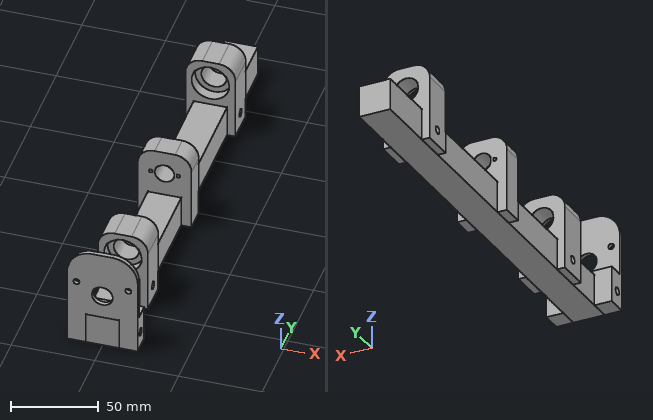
import cadquery as cq

BAR_SIDE = 20.0
BAR_LENGTH = 270.0
FRONT_Y = -BAR_LENGTH / 2

BLOCK_HEIGHT = 50.0
BLOCK_CORNER_RADIUS = 10.0
SHAFT_AXIS_Z = 35.0
SHAFT_HOLE_DIAMETER = 11.5

BEARING_BLOCK_WIDTH = 30.0
BEARING_BLOCK_LENGTH = 20.0
BEARING_BLOCK_STARTS = (40.0, 210.0)
BEARING_SEAT_DIAMETER = 22.5
BEARING_SEAT_DEPTH = 7.0
BEARING_BORE_DIAMETER = 15.0

NUT_BLOCK_WIDTH = 32.0
NUT_BLOCK_LENGTH = 14.0
NUT_BLOCK_START = 121.0
NUT_SCREW_DIAMETER = 2.1
NUT_SCREW_SPACING = 16.5

PLATE_WIDTH = 42.0
PLATE_HEIGHT = 64.0
PLATE_THICKNESS = 3.0
PLATE_CORNER_RADIUS = 15.0
PLATE_HOLE_DIAMETER = 12.5
FOOT_LENGTH = 13.0
FOOT_HEIGHT = 22.7
MOTOR_SCREW_DIAMETER = 3.5
MOTOR_SCREW_SPACING = 31.0
MOTOR_SCREW_Z = 42.0

SIDE_SCREW_DIAMETER = 4.5
SIDE_SCREW_Z = BAR_SIDE / 2
PLATE_SIDE_SCREW_OFFSET = 6.0


def box_on_base(width, length, height, start_y):
    """Box centred on X, standing on Z = 0 and running toward +Y from start_y."""
    return cq.Workplane("XY").box(width, length, height, centered=(True, False, False)).translate((0, start_y, 0))


def rounded_upright(width, length, height, corner_radius, start_y):
    """Upright box with its two top corners rounded."""
    upright = box_on_base(width, length, height, start_y)
    return upright.faces(">Z").edges("|Y").fillet(corner_radius)


def cylinder_along_y(diameter, length, x, start_y, z):
    """Cutting cylinder running toward +Y from start_y."""
    return cq.Workplane(cq.Solid.makeCylinder(
        diameter / 2, length, cq.Vector(x, start_y, z), cq.Vector(0, 1, 0)
    ))


def side_screw_hole(width, y):
    """Cutting cylinder along X that crosses both side walls of a body."""
    return cq.Workplane(cq.Solid.makeCylinder(
        SIDE_SCREW_DIAMETER / 2, width, cq.Vector(-width / 2, y, SIDE_SCREW_Z), cq.Vector(1, 0, 0)
    ))


def make_bar():
    return box_on_base(BAR_SIDE, BAR_LENGTH, BAR_SIDE, FRONT_Y)


def cut_bar_slot(body):
    """Open the underside of a body so that the bar fits through it."""
    return body.cut(make_bar())


def make_bearing_block(start_y):
    block = rounded_upright(
        BEARING_BLOCK_WIDTH, BEARING_BLOCK_LENGTH, BLOCK_HEIGHT, BLOCK_CORNER_RADIUS, start_y
    )
    block = block.cut(side_screw_hole(BEARING_BLOCK_WIDTH, start_y + BEARING_BLOCK_LENGTH / 2))
    block = block.cut(cylinder_along_y(BEARING_BORE_DIAMETER, BEARING_BLOCK_LENGTH, 0, start_y, SHAFT_AXIS_Z))
    block = block.cut(cylinder_along_y(BEARING_SEAT_DIAMETER, BEARING_SEAT_DEPTH, 0, start_y, SHAFT_AXIS_Z))
    return cut_bar_slot(block)


def make_nut_block():
    start_y = FRONT_Y + NUT_BLOCK_START
    block = rounded_upright(NUT_BLOCK_WIDTH, NUT_BLOCK_LENGTH, BLOCK_HEIGHT, BLOCK_CORNER_RADIUS, start_y)
    block = block.cut(cylinder_along_y(SHAFT_HOLE_DIAMETER, NUT_BLOCK_LENGTH, 0, start_y, SHAFT_AXIS_Z))
    for side in (-1, 1):
        screw_x = side * NUT_SCREW_SPACING / 2
        block = block.cut(
            cylinder_along_y(NUT_SCREW_DIAMETER, NUT_BLOCK_LENGTH, screw_x, start_y, SHAFT_AXIS_Z)
        )
    return cut_bar_slot(block)


def make_motor_plate():
    plate = rounded_upright(PLATE_WIDTH, PLATE_THICKNESS, PLATE_HEIGHT, PLATE_CORNER_RADIUS, FRONT_Y)
    plate = plate.union(box_on_base(PLATE_WIDTH, FOOT_LENGTH, FOOT_HEIGHT, FRONT_Y))
    plate = plate.cut(cylinder_along_y(PLATE_HOLE_DIAMETER, PLATE_THICKNESS, 0, FRONT_Y, SHAFT_AXIS_Z))
    for side in (-1, 1):
        screw_x = side * MOTOR_SCREW_SPACING / 2
        plate = plate.cut(
            cylinder_along_y(MOTOR_SCREW_DIAMETER, PLATE_THICKNESS, screw_x, FRONT_Y, MOTOR_SCREW_Z)
        )
    plate = plate.cut(side_screw_hole(PLATE_WIDTH, FRONT_Y + PLATE_SIDE_SCREW_OFFSET))
    return cut_bar_slot(plate)


bar = make_bar()
bearing_blocks = [make_bearing_block(FRONT_Y + start) for start in BEARING_BLOCK_STARTS]
nut_block = make_nut_block()
motor_plate = make_motor_plate()

result = cq.Compound.makeCompound([
    bar.val(),
    *[block.val() for block in bearing_blocks],
    nut_block.val(),
    motor_plate.val(),
])